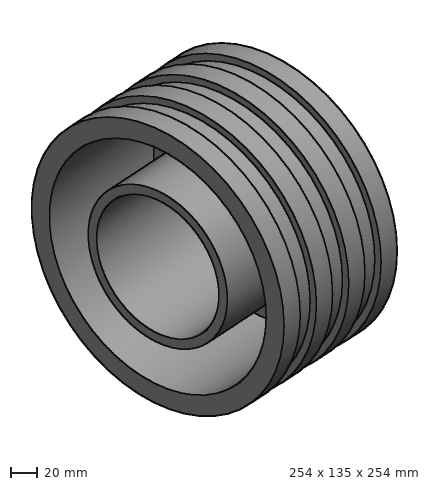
import cadquery as cq

width = 135.0
rim_diameter = 254.0
groove_diameter = 241.3
rim_inner_diameter = 218.0
hub_diameter = 140.0
bore_diameter = 123.0

groove_count = 3
band_width = width / (2 * groove_count + 1)

web_thickness = 11.0
recess_depth = width - web_thickness

front_y = -width / 2


def ring(outer_diameter, inner_diameter, start_y, length):
    """Ring about the Y axis, running from start_y towards +Y."""
    return (
        cq.Workplane("XZ", origin=(0, start_y, 0))
        .circle(outer_diameter / 2)
        .circle(inner_diameter / 2)
        .extrude(-length)
    )


def make_body():
    """Drum with a plain rim and a through bore."""
    return ring(rim_diameter, bore_diameter, front_y, width)


def cut_recess(body):
    """Annular recess between the rim and the hub tube."""
    return body.cut(ring(rim_inner_diameter, hub_diameter, front_y, recess_depth))


def cut_grooves(body):
    """Square grooves around the outside of the rim."""
    for index in range(groove_count):
        start_y = front_y + (2 * index + 1) * band_width
        body = body.cut(ring(rim_diameter, groove_diameter, start_y, band_width))
    return body


result = cut_grooves(cut_recess(make_body()))